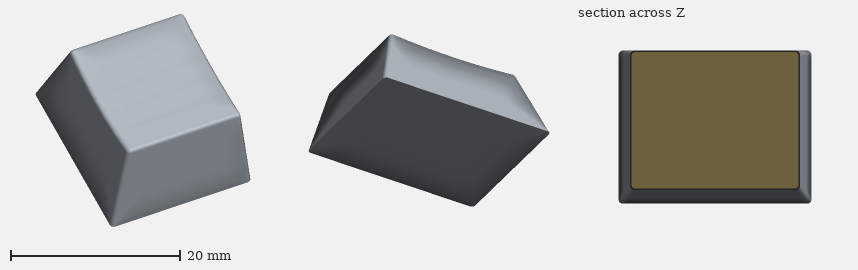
import cadquery as cq

base_width = 22.8
base_depth = 18.1
body_height = 9.37
side_inset = 2.83
front_inset = 3.4
back_inset = 0.14

dish_depth = 0.57
edge_radius = 0.5

top_width = base_width - 2 * side_inset
top_depth = base_depth - front_inset - back_inset
top_center_y = (front_inset - back_inset) / 2


def tapered_body():
    """Solid block with four flat walls leaning in towards the top."""
    return (
        cq.Workplane("XY")
        .rect(base_width, base_depth)
        .workplane(offset=body_height)
        .center(0, top_center_y)
        .rect(top_width, top_depth)
        .loft(ruled=True)
    )


def dish_cutter():
    """Cylinder that meets both upper side edges and dips between them."""
    half_chord = top_width / 2
    dish_radius = (half_chord**2 + dish_depth**2) / (2 * dish_depth)
    axis_height = body_height - dish_depth + dish_radius
    return (
        cq.Workplane("XZ")
        .center(0, axis_height)
        .circle(dish_radius)
        .extrude(base_depth, both=True)
    )


dished_body = tapered_body().cut(dish_cutter())
result = dished_body.edges("not <Z").fillet(edge_radius)